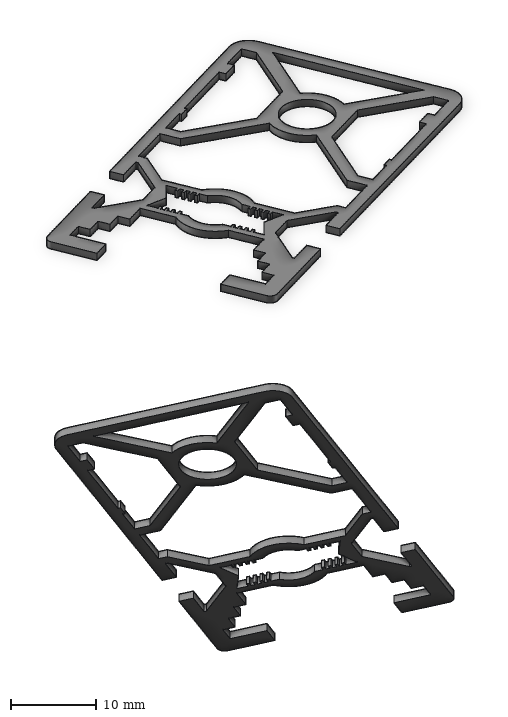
import cadquery as cq
import math


width = 30.0
height = 52.0
thickness = 1.0
half_width = width / 2
top_corner_radius = 2.5
bottom_corner_radius = 1.0

wall = 1.5
slot_wall = 1.8
wall_face = half_width - wall
slot_wall_face = half_width - slot_wall

bore_radius = 3.4
tube_radius = 4.9

cavity_top = height - 2.4
cavity_bottom = height - 22.55
upper_tube_y = (cavity_top + cavity_bottom) / 2
cavity_half_height = (cavity_top - cavity_bottom) / 2
tube_flat_half = 3.45
upper_strut = 1.8
lower_strut = 1.55
strut_start = tube_radius - tube_flat_half

large_pad_y, large_pad_length, large_pad_depth = 44.75, 2.25, 0.9
small_pad_y, small_pad_length, small_pad_depth = 33.75, 1.4, 0.3

core_y = half_width
core_half_height = 2.55
core_corner_x = 7.65
core_point_x = 6.35
web_half_height = 3.5
slot_back_x = 8.65
slot_back_half = 1.55
slot_half_height = 5.8
slot_opening_half = core_half_height

chamber_top = cavity_bottom - wall
chamber_ledge_y = 22.2
chamber_ledge_x = 12.4

tooth_count = 4
tooth_row_span = 2.55
tooth_pitch = tooth_row_span / (tooth_count - 1)
tooth_width = 0.35
tooth_height = 0.5
first_tooth_x = 3.5

lip_thickness = 2.4
bay_half_width = 8.05
step_run = 1.55
lip_slot_top = 4.6
step_count = 3
step_rise = 2.1


def prism(points):
    """Closed outline raised to the full thickness."""
    return cq.Workplane("XY").polyline(points).close().extrude(thickness)


def symmetric_prism(right_points):
    """Outline given by its right half, completed by its mirror image."""
    left_points = [(-x, y) for x, y in reversed(right_points) if x > 0]
    return prism(right_points + left_points)


def both_sides(shape):
    return shape.union(shape.mirror("YZ"))


def disc(radius, y):
    return cq.Workplane("XY").center(0, y).circle(radius).extrude(thickness)


def block(x_min, x_max, y_min, y_max):
    return prism([(x_min, y_min), (x_max, y_min), (x_max, y_max), (x_min, y_max)])


def body():
    blank = block(-half_width, half_width, 0, height)
    blank = blank.edges("|Z and >Y").fillet(top_corner_radius)
    return blank.edges("|Z and <Y").fillet(bottom_corner_radius)


def side_cavities():
    corner_x = cavity_half_height + strut_start
    return both_sides(prism([
        (tube_radius, upper_tube_y + tube_flat_half),
        (corner_x, cavity_top),
        (wall_face, cavity_top),
        (wall_face, cavity_bottom),
        (corner_x, cavity_bottom),
        (tube_radius, upper_tube_y - tube_flat_half),
    ]))


def top_triangle():
    tip_y = upper_tube_y + upper_strut * math.sqrt(2) - strut_start
    base_y = height - wall
    return symmetric_prism([(0, tip_y), (base_y - tip_y, base_y)])


def middle_chamber():
    tip_y = upper_tube_y - (lower_strut * math.sqrt(2) - strut_start)
    floor_y = core_y + web_half_height
    return symmetric_prism([
        (0, floor_y),
        (chamber_ledge_x - (chamber_ledge_y - floor_y), floor_y),
        (chamber_ledge_x, chamber_ledge_y),
        (wall_face, chamber_ledge_y),
        (wall_face, chamber_top),
        (tip_y - chamber_top, chamber_top),
        (0, tip_y),
    ])


def side_slots():
    tip_x = slot_back_x + slot_half_height - slot_back_half
    upper_half = [
        (slot_back_x, slot_back_half),
        (tip_x, slot_half_height),
        (slot_wall_face, slot_half_height),
        (slot_wall_face, slot_opening_half),
        (half_width, slot_opening_half),
    ]
    upper = [(x, core_y + y) for x, y in upper_half]
    lower = [(x, core_y - y) for x, y in reversed(upper_half)]
    return both_sides(prism(upper + lower))


def core_cavity():
    hollow = symmetric_prism([
        (core_corner_x, core_y - core_half_height),
        (core_point_x, core_y),
        (core_corner_x, core_y + core_half_height),
    ])
    return hollow.union(disc(bore_radius, core_y))


def stepped_bay():
    bay = block(-bay_half_width, bay_half_width, 0, core_y - web_half_height)
    for step in range(1, step_count + 1):
        reach = bay_half_width + step * step_run
        step_top = lip_slot_top + (step_count - step) * step_rise
        bay = bay.union(block(-reach, reach, lip_thickness, step_top))
    return bay


def wall_pads(y, length, depth):
    return both_sides(block(wall_face - depth, wall_face + wall / 2, y - length / 2, y + length / 2))


def teeth():
    root = (web_half_height - core_half_height) / 2
    rows = cq.Workplane("XY")
    for index in range(tooth_count):
        x = first_tooth_x + index * tooth_pitch
        for side in (-1, 1):
            tip_y = core_y + side * (core_half_height - tooth_height)
            root_y = core_y + side * (core_half_height + root)
            rows = rows.union(block(x - tooth_width / 2, x + tooth_width / 2, tip_y, root_y))
    return both_sides(rows)


profile = body()
for opening in (side_cavities(), top_triangle(), middle_chamber(), side_slots(), stepped_bay()):
    profile = profile.cut(opening)
for tube_y in (upper_tube_y, core_y):
    profile = profile.union(disc(tube_radius, tube_y))
profile = profile.cut(disc(bore_radius, upper_tube_y)).cut(core_cavity())

profile = profile.union(wall_pads(large_pad_y, large_pad_length, large_pad_depth))
profile = profile.union(wall_pads(small_pad_y, small_pad_length, small_pad_depth))
result = profile.union(teeth())